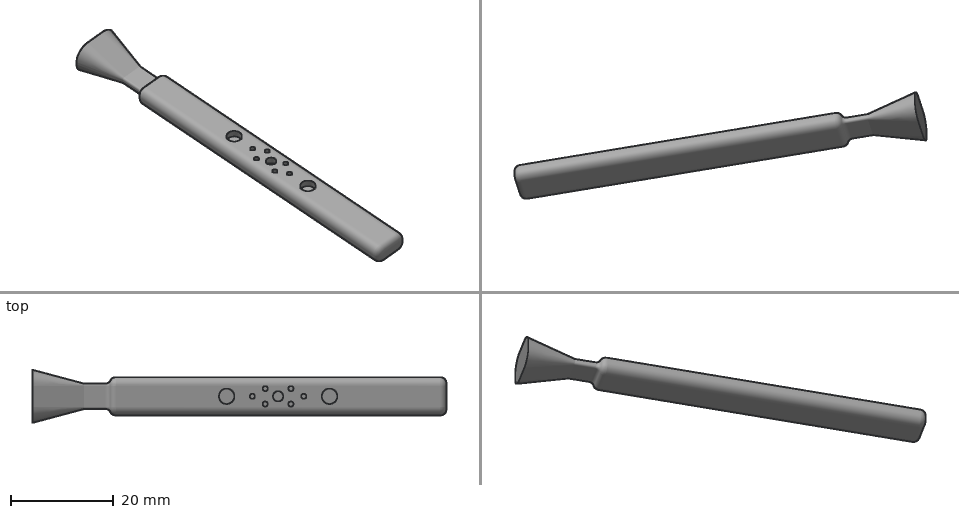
import cadquery as cq
import math

CORE_WIDTH = 4.1
CORE_HEIGHT = 0.6

BODY_LENGTH = 65.5
BODY_WIDTH = 7.5
BODY_END_FILLET = 1.25

NECK_WIDTH = 5.0
NECK_LENGTH = 5.0
NECK_FILLET = 1.0
FLARE_LENGTH = 10.0
FLARE_ANGLE = 15.0

CORNER_MARGIN = 0.1

HOLE_DEPTH = 1.5
CENTRE_HOLE_DIAMETER = 2.0
OUTER_HOLE_DIAMETER = 3.0
OUTER_HOLE_OFFSET = 10.0
SMALL_HOLE_DIAMETER = 1.0
SMALL_AXIAL_OFFSET = 5.0
SMALL_CORNER_X = 2.5
SMALL_CORNER_Y = 1.5

BODY_RADIUS = (BODY_WIDTH - CORE_WIDTH) / 2
BODY_HEIGHT = CORE_HEIGHT + 2 * BODY_RADIUS
NECK_RADIUS = (NECK_WIDTH - CORE_WIDTH) / 2
FLARE_RADIUS = NECK_RADIUS + FLARE_LENGTH * math.tan(math.radians(FLARE_ANGLE))
BODY_START = -BODY_LENGTH / 2
NECK_START = BODY_START - NECK_LENGTH
TIP_START = NECK_START - FLARE_LENGTH
NECK_OVERLAP = BODY_END_FILLET


def rounded_section(x, radius):
    """Wire in the plane at x: the core rectangle offset outwards by radius."""
    half_core_y = CORE_WIDTH / 2
    half_core_z = CORE_HEIGHT / 2
    y = half_core_y + radius
    z = half_core_z + radius
    diagonal = radius * math.sqrt(0.5)
    mid_y = half_core_y + diagonal
    mid_z = half_core_z + diagonal
    return (
        cq.Workplane("YZ", origin=(x, 0, 0))
        .moveTo(-half_core_y, z)
        .lineTo(half_core_y, z)
        .threePointArc((mid_y, mid_z), (y, half_core_z))
        .lineTo(y, -half_core_z)
        .threePointArc((mid_y, -mid_z), (half_core_y, -z))
        .lineTo(-half_core_y, -z)
        .threePointArc((-mid_y, -mid_z), (-y, -half_core_z))
        .lineTo(-y, half_core_z)
        .threePointArc((-mid_y, mid_z), (-half_core_y, z))
        .close()
    )


def make_body():
    """Long rounded bar with both end rims filleted."""
    bar = rounded_section(BODY_START, BODY_RADIUS).extrude(BODY_LENGTH)
    return bar.faces("<X or >X").edges().fillet(BODY_END_FILLET)


def make_neck():
    """Thin neck that runs a little way into the body."""
    return rounded_section(NECK_START, NECK_RADIUS).extrude(NECK_LENGTH + NECK_OVERLAP)


def make_flare():
    """Tip that widens by the same angle on every side towards -X."""
    wide_end = rounded_section(TIP_START, FLARE_RADIUS).val()
    narrow_end = rounded_section(NECK_START, NECK_RADIUS).val()
    return cq.Workplane(cq.Solid.makeLoft([wide_end, narrow_end], True))


def blend_neck(handle):
    """Fillet the inside corner where the neck meets the body."""
    corner = cq.selectors.BoxSelector(
        (BODY_START - CORNER_MARGIN, -BODY_WIDTH, -BODY_HEIGHT),
        (BODY_START + CORNER_MARGIN, BODY_WIDTH, BODY_HEIGHT),
    )
    return handle.edges(corner).fillet(NECK_FILLET)


def mirrored_pair(x, y):
    """Two points on opposite sides of the body centre along X."""
    return [(-x, y), (x, y)]


def drill(solid, diameter, points):
    """Cut flat-bottomed blind holes down from the top face."""
    cutter = (
        cq.Workplane("XY", origin=(0, 0, BODY_HEIGHT / 2))
        .pushPoints(points)
        .circle(diameter / 2)
        .extrude(-HOLE_DEPTH)
    )
    return solid.cut(cutter)


handle = blend_neck(make_body().union(make_neck()))
result = handle.union(make_flare())
result = drill(result, CENTRE_HOLE_DIAMETER, [(0, 0)])
result = drill(result, OUTER_HOLE_DIAMETER, mirrored_pair(OUTER_HOLE_OFFSET, 0))
result = drill(result, SMALL_HOLE_DIAMETER, mirrored_pair(SMALL_AXIAL_OFFSET, 0))
for corner_y in (-SMALL_CORNER_Y, SMALL_CORNER_Y):
    result = drill(result, SMALL_HOLE_DIAMETER, mirrored_pair(SMALL_CORNER_X, corner_y))